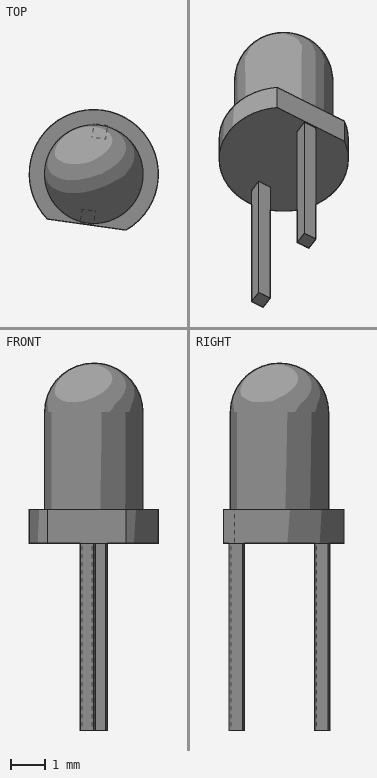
import cadquery as cq

body_diameter = 2.9
body_radius = body_diameter / 2
total_height = 10.8
lead_length = 5.5
flange_diameter = 3.8
flange_thickness = 1.0
flat_distance = 1.5
lead_width = 0.4
lead_pitch = 2.54
turn_angle = -8.0

dome_center_z = total_height - lead_length - body_radius


def make_flange():
    """Round flange with one flat on its -Y side."""
    disc = cq.Workplane("XY").circle(flange_diameter / 2).extrude(flange_thickness)
    keep_depth = flange_diameter / 2 + flat_distance
    keep_block = (
        cq.Workplane("XY")
        .center(0, keep_depth / 2 - flat_distance)
        .rect(flange_diameter, keep_depth)
        .extrude(flange_thickness)
    )
    return disc.intersect(keep_block)


def make_lens():
    """Cylindrical body with a hemispherical top, revolved about Z."""
    dome_mid = body_radius * 0.5**0.5
    return (
        cq.Workplane("XZ")
        .lineTo(body_radius, 0)
        .lineTo(body_radius, dome_center_z)
        .threePointArc(
            (dome_mid, dome_center_z + dome_mid),
            (0, dome_center_z + body_radius),
        )
        .close()
        .revolve(360, (0, 0), (0, 1))
    )


def make_leads():
    """Two square leads below the flange, spaced across the flat."""
    return (
        cq.Workplane("XY")
        .rarray(1, lead_pitch, 1, 2)
        .rect(lead_width, lead_width)
        .extrude(-lead_length)
    )


led = make_flange().union(make_lens()).union(make_leads())
result = led.rotate((0, 0, 0), (0, 0, 1), turn_angle)